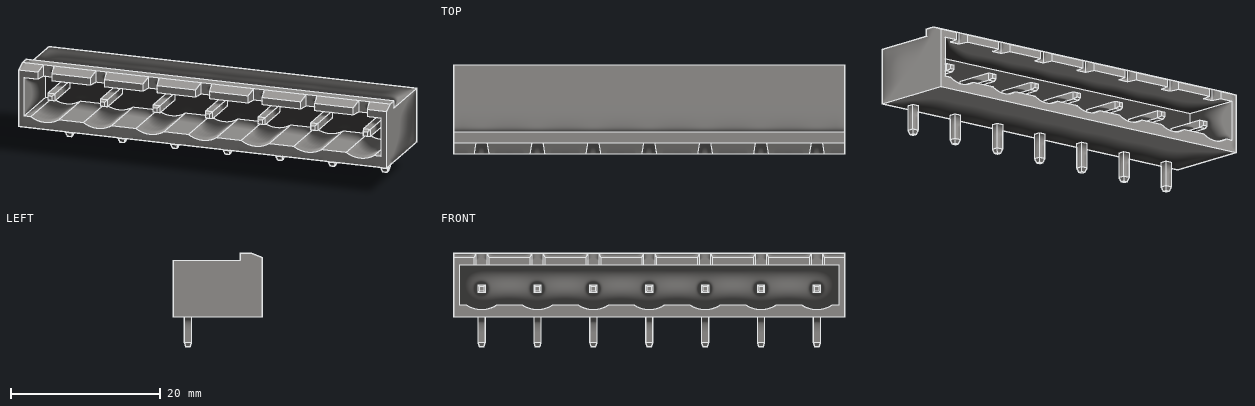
import cadquery as cq
import math

POLES = 7
PITCH = 7.5
POLE_POSITIONS = [(i - (POLES - 1) / 2) * PITCH for i in range(POLES)]

LENGTH = POLES * PITCH
DEPTH = 12.0
ROOF_HEIGHT = 7.6
LIP_HEIGHT = 8.6
LIP_DEPTH = 3.0
LIP_SLOPE_DEPTH = 1.5
LIP_SLOPE_DROP = 0.6

SIDE_WALL = 0.8
CAVITY_DEPTH = 8.5
CAVITY_FLOOR = 1.6
CAVITY_TOP = 7.0
SCALLOP_WIDTH = 4.0
SCALLOP_BOTTOM = 1.0

SLOT_FRONT_WIDTH = 2.0
SLOT_BACK_WIDTH = 1.5
SLOT_DEPTH = LIP_SLOPE_DEPTH

PIN_SIZE = 1.0
PIN_AXIS_Y = DEPTH - 2.0
PIN_AXIS_Z = 3.8
PIN_FRONT_Y = 2.0
SOLDER_LENGTH = 4.0
TIP_LENGTH = 0.6
TIP_INSET = 0.2
TIP_TAPER = math.degrees(math.atan2(TIP_INSET, TIP_LENGTH))


def make_housing():
    """Side profile with a raised, sloped front lip, extruded along X."""
    profile = [
        (0, 0),
        (DEPTH, 0),
        (DEPTH, ROOF_HEIGHT),
        (LIP_DEPTH, ROOF_HEIGHT),
        (LIP_DEPTH, LIP_HEIGHT),
        (LIP_SLOPE_DEPTH, LIP_HEIGHT),
        (0, LIP_HEIGHT - LIP_SLOPE_DROP),
    ]
    return cq.Workplane("YZ").polyline(profile).close().extrude(LENGTH / 2, both=True)


def make_cavity():
    """Plug cavity whose floor dips in a shallow arc below each pole."""
    half_width = LENGTH / 2 - SIDE_WALL
    outline = cq.Workplane("XZ").moveTo(-half_width, CAVITY_TOP).lineTo(-half_width, CAVITY_FLOOR)
    for x in POLE_POSITIONS:
        outline = outline.lineTo(x - SCALLOP_WIDTH / 2, CAVITY_FLOOR)
        outline = outline.threePointArc((x, SCALLOP_BOTTOM), (x + SCALLOP_WIDTH / 2, CAVITY_FLOOR))
    outline = outline.lineTo(half_width, CAVITY_FLOOR).lineTo(half_width, CAVITY_TOP)
    return outline.close().extrude(-CAVITY_DEPTH)


def make_coding_slot(x):
    """Slot that narrows from the front face toward the back of the lip."""
    plan = [
        (x - SLOT_FRONT_WIDTH / 2, 0),
        (x + SLOT_FRONT_WIDTH / 2, 0),
        (x + SLOT_BACK_WIDTH / 2, SLOT_DEPTH),
        (x - SLOT_BACK_WIDTH / 2, SLOT_DEPTH),
    ]
    slot = cq.Workplane("XY").workplane(offset=CAVITY_TOP).polyline(plan).close()
    return slot.extrude(LIP_HEIGHT - CAVITY_TOP)


def make_pin_leg(start, direction, length):
    """Square bar of the given overall length with a tapered tip at its far end."""
    shank_length = length - TIP_LENGTH
    tip_start = tuple(s + d * shank_length for s, d in zip(start, direction))
    across = (1, 0, 0)
    shank = cq.Workplane(cq.Plane(start, across, direction)).rect(PIN_SIZE, PIN_SIZE).extrude(shank_length)
    tip = cq.Workplane(cq.Plane(tip_start, across, direction)).rect(PIN_SIZE, PIN_SIZE)
    return shank.union(tip.extrude(TIP_LENGTH, taper=TIP_TAPER))


def make_pin(x):
    """Horizontal contact leg joined to a vertical solder leg inside the rear wall."""
    contact_start_y = PIN_AXIS_Y + PIN_SIZE / 2
    contact_start = (x, contact_start_y, PIN_AXIS_Z)
    contact = make_pin_leg(contact_start, (0, -1, 0), contact_start_y - PIN_FRONT_Y)
    solder_start = (x, PIN_AXIS_Y, PIN_AXIS_Z)
    solder = make_pin_leg(solder_start, (0, 0, -1), PIN_AXIS_Z + SOLDER_LENGTH)
    return contact.union(solder)


result = make_housing().cut(make_cavity())
for pole_x in POLE_POSITIONS:
    result = result.cut(make_coding_slot(pole_x)).union(make_pin(pole_x))